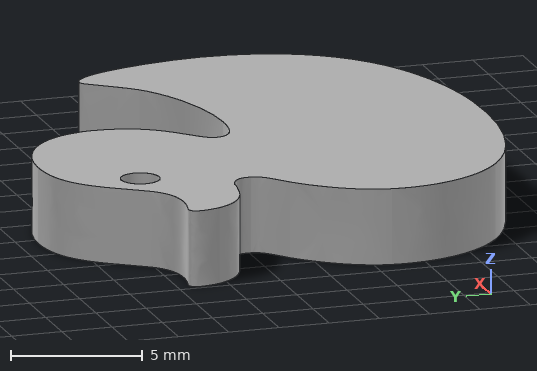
import cadquery as cq
import math

length = 19.7
height = 18.46
thickness = 3.0

eye_diameter = 1.5
eye_center = (4.84, 15.22)

belly = ((10.95, 0.05), 184, 2.2, 2.9)
lower_breast = ((2.65, 1.77), 143, 2.6, 1.9)
breast = ((0.6, 6.55), 83, 1.8, 1.3)
lower_throat = ((2.63, 9.95), 42, 1.3, 0.5)
throat = ((3.73, 11.15), 87, 0.5, 0.4)
upper_throat = ((3.54, 11.78), 136, 0.2, 0.4)
beak_underside = ((2.64, 12.08), 173, 0.3, 1.0)
lower_beak = ((0.19, 13.54), 115, 1.2, 0.3)
upper_beak = ((0.43, 14.74), -15, 0.7, 0.7)
forehead = ((3.14, 15.48), 56, 1.3, 2.1)
crown = ((7.42, height), 0, 2.4, 2.2)
back_of_head = ((11.52, 15.0), -90, 2.1, 2.9)
nape = ((9.22, 10.76), -90, 0.9, 0.8)
back = ((11.1, 9.9), 0, 0.6, 1.7)
tail_slope = ((16.18, 11.6), 41, 1.7, 0.8)
tail_tip = ((17.82, 13.48), 0, 0.3, 1.1)
rump = ((length, 8.08), -90, 1.75, 2.2)
lower_rump = ((17.64, 2.62), -135, 2.0, 2.4)

outline_knots = [
    belly, lower_breast, breast,
    lower_throat, throat, upper_throat,
    beak_underside, lower_beak, upper_beak, forehead,
    crown, back_of_head, nape,
    back, tail_slope, tail_tip,
    rump, lower_rump,
]


def step_along(point, heading, distance):
    """Point reached by moving a distance from a point along a heading in degrees."""
    angle = math.radians(heading)
    return (
        point[0] + distance * math.cos(angle),
        point[1] + distance * math.sin(angle),
    )


def make_outline(knots):
    """Closed wire of cubic Bezier curves that keeps its tangent through every knot."""
    first_point = knots[0][0]
    outline = cq.Workplane("XY").moveTo(*first_point)
    next_knots = knots[1:] + knots[:1]
    for knot, next_knot in zip(knots, next_knots):
        start, start_heading, _, reach_after = knot
        end, end_heading, reach_before, _ = next_knot
        leaving = step_along(start, start_heading, reach_after)
        arriving = step_along(end, end_heading, -reach_before)
        outline = outline.bezier([start, leaving, arriving, end])
    return outline.wire()


def make_eye():
    """Cylinder that cuts the eye hole through the full thickness."""
    return cq.Workplane("XY").center(*eye_center).circle(eye_diameter / 2).extrude(thickness)


body = make_outline(outline_knots).extrude(thickness)
result = body.cut(make_eye())